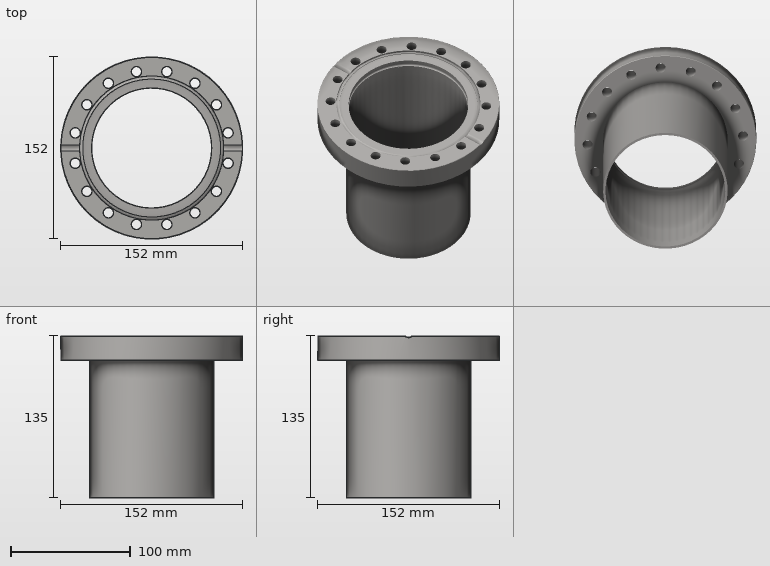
import cadquery as cq
import math

total_height = 135.0
flange_diameter = 152.0
flange_thickness = 20.0
edge_chamfer = 0.3

tube_outer_radius = 104.0 / 2
bore_radius = 100.0 / 2

insert_radius = 120.4 / 2
knife_radius = 57.6
knife_slope = 20.0
knife_tip_depth = 0.8
knife_height = 0.6
groove_radius = 1.7
upper_land = 3.3
lower_land = 1.4
socket_depth = 4.5

bolt_count = 16
bolt_circle_radius = 130.1 / 2
bolt_hole_diameter = 8.4
slot_width = 5.0
slot_depth = 1.0

flange_bottom = total_height - flange_thickness
knife_tip = total_height - knife_tip_depth
insert_face = knife_tip - knife_height
knife_foot = knife_tip - (insert_radius - knife_radius) * math.tan(math.radians(knife_slope))
groove_top = insert_face - upper_land
groove_middle = groove_top - groove_radius
groove_bottom = groove_middle - groove_radius
tube_top = groove_bottom - lower_land
insert_bottom = tube_top - socket_depth


def revolve_profile(profile):
    """Turn a closed (radius, Z) profile drawn on the XZ plane around the Z axis."""
    return profile.close().revolve(360, (0, 0, 0), (0, 1, 0))


def make_tube():
    """Plain tube whose upper end sits in the insert socket."""
    return cq.Workplane("XY").circle(tube_outer_radius).circle(bore_radius).extrude(tube_top)


def make_insert():
    """Sealing ring with a knife edge, a round bore groove and a socket for the tube."""
    profile = (
        cq.Workplane("XZ")
        .moveTo(tube_outer_radius, insert_bottom)
        .lineTo(insert_radius, insert_bottom)
        .lineTo(insert_radius, knife_foot)
        .lineTo(knife_radius, knife_tip)
        .lineTo(knife_radius, insert_face)
        .lineTo(bore_radius, insert_face)
        .lineTo(bore_radius, groove_top)
        .threePointArc((bore_radius + groove_radius, groove_middle), (bore_radius, groove_bottom))
        .lineTo(bore_radius, tube_top)
        .lineTo(tube_outer_radius, tube_top)
    )
    return revolve_profile(profile)


def make_bolt_holes():
    """Cutters for the bolt holes, which straddle the X and Y axes."""
    return (
        cq.Workplane("XY", origin=(0, 0, flange_bottom))
        .polarArray(bolt_circle_radius, 180 / bolt_count, 360, bolt_count)
        .circle(bolt_hole_diameter / 2)
        .extrude(flange_thickness)
    )


def make_leak_slot():
    """Cutter for the shallow round-bottomed slot across the flange face along X."""
    half_width = slot_width / 2
    arc_radius = (half_width**2 + slot_depth**2) / (2 * slot_depth)
    arc_center_height = total_height - slot_depth + arc_radius
    return (
        cq.Workplane("YZ", origin=(0, 0, arc_center_height))
        .circle(arc_radius)
        .extrude(flange_diameter / 2, both=True)
    )


def make_flange():
    """Bolt flange whose recess holds the insert on a shoulder around the tube."""
    body = (
        cq.Workplane("XY", origin=(0, 0, flange_bottom))
        .circle(flange_diameter / 2)
        .extrude(flange_thickness)
        .edges()
        .chamfer(edge_chamfer)
    )
    tube_hole = cq.Workplane("XY").circle(tube_outer_radius).extrude(total_height)
    recess = (
        cq.Workplane("XY", origin=(0, 0, insert_bottom))
        .circle(insert_radius)
        .extrude(total_height - insert_bottom)
    )
    return body.cut(tube_hole).cut(recess).cut(make_bolt_holes()).cut(make_leak_slot())


tube = make_tube()
insert = make_insert()
flange = make_flange()

result = cq.Compound.makeCompound([tube.val(), insert.val(), *flange.solids().vals()])